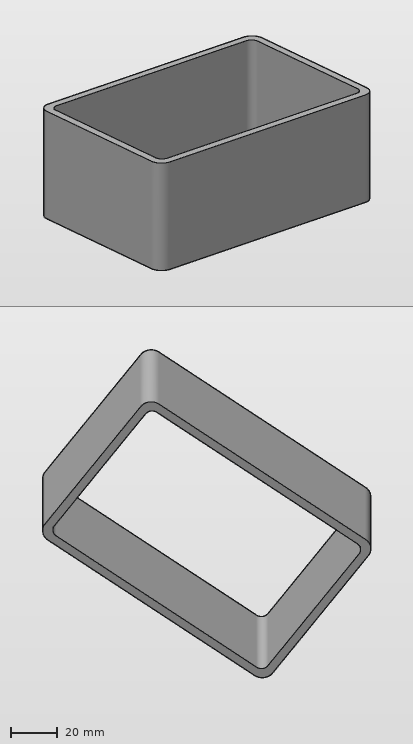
import cadquery as cq

width = 80.0
length = 120.0
height = 50.0

wall = 3.7
outer_radius = 5.5
inner_radius = 3.5


def rounded_block(size_x, size_y, corner_radius):
    """Full-height block with rounded vertical edges, centred on Z."""
    block = cq.Workplane("XY").rect(size_x, size_y).extrude(height)
    return block.edges("|Z").fillet(corner_radius)


outer_body = rounded_block(width, length, outer_radius)
through_opening = rounded_block(width - 2 * wall, length - 2 * wall, inner_radius)

result = outer_body.cut(through_opening)